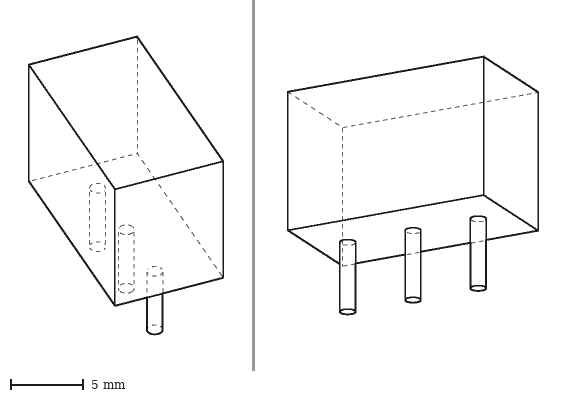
import cadquery as cq

total_height = 15.25
housing_length = 15.23
housing_width = 8.1

pin_count = 3
pin_diameter = 1.1
pin_length = 5.1
pin_pitch = 5.08

housing_height = total_height - pin_length


def make_housing():
    """Plain rectangular block with its underside at Z = 0."""
    return cq.Workplane("XY").box(
        housing_length, housing_width, housing_height, centered=(True, True, False)
    )


def make_pin(x):
    """Round pin hanging from the underside of the housing."""
    return cq.Workplane("XY").center(x, 0).circle(pin_diameter / 2).extrude(-pin_length)


housing = make_housing()

first_pin_x = -pin_pitch * (pin_count - 1) / 2
pins = [make_pin(first_pin_x + index * pin_pitch) for index in range(pin_count)]

result = cq.Compound.makeCompound([housing.val(), *[pin.val() for pin in pins]])